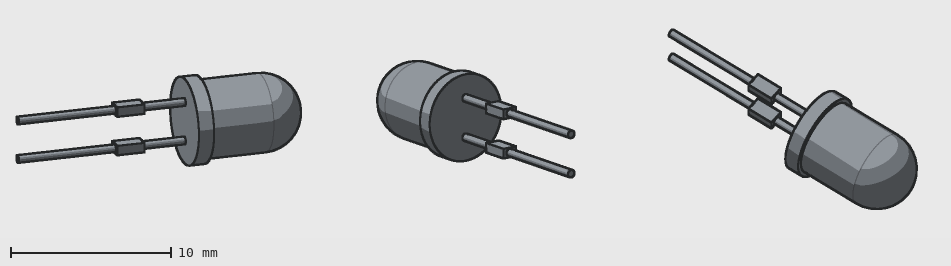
import cadquery as cq

OVERALL_LENGTH = 18.55

FLANGE_DIAMETER = 5.6
FLANGE_THICKNESS = 1.0
LENS_DIAMETER = 5.0
HOUSING_LENGTH = 7.55

LEAD_DIAMETER = 0.5
LEAD_SPACING = 2.55
LEAD_LENGTH = OVERALL_LENGTH - HOUSING_LENGTH

COLLAR_WIDTH = 1.0
COLLAR_HEIGHT = 0.63
COLLAR_LENGTH = 1.8
COLLAR_DISTANCE = 2.8


def make_housing():
    """Revolve the flange, the cylindrical lens and its hemispherical dome about Y."""
    flange_radius = FLANGE_DIAMETER / 2
    lens_radius = LENS_DIAMETER / 2
    dome_start = HOUSING_LENGTH - lens_radius
    return (
        cq.Workplane("XY")
        .moveTo(0, 0)
        .lineTo(flange_radius, 0)
        .lineTo(flange_radius, FLANGE_THICKNESS)
        .lineTo(lens_radius, FLANGE_THICKNESS)
        .lineTo(lens_radius, dome_start)
        .radiusArc((0, HOUSING_LENGTH), -lens_radius)
        .close()
        .revolve(360, (0, 0), (0, 1))
    )


def make_lead(z_position):
    """Build a round lead that starts at the flange base, with its collar."""
    wire = (
        cq.Workplane("XZ", origin=(0, 0, z_position))
        .circle(LEAD_DIAMETER / 2)
        .extrude(LEAD_LENGTH)
    )
    collar = (
        cq.Workplane("XZ", origin=(0, -COLLAR_DISTANCE, z_position))
        .rect(COLLAR_WIDTH, COLLAR_HEIGHT)
        .extrude(COLLAR_LENGTH)
    )
    return wire.union(collar)


housing = make_housing()
leads = [make_lead(side * LEAD_SPACING / 2) for side in (-1, 1)]

result = cq.Compound.makeCompound([housing.val(), *[lead.val() for lead in leads]])